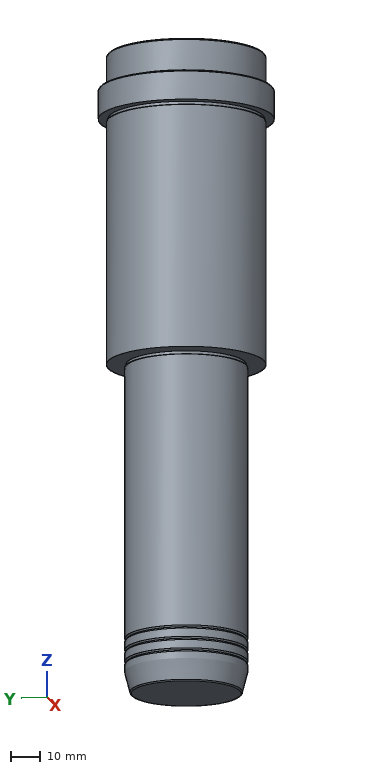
import cadquery as cq

height = 223.0
collar_radius = 60.0 / 2
body_radius = 54.5 / 2
shaft_radius = 42.0 / 2
tip_radius = 38.4 / 2

body_bottom = 115.0
collar_bottom = 201.0
collar_top = 211.2
taper_top = 7.4

collar_chamfer = 0.5
tip_chamfer = 0.5
top_chamfer = 0.55
relief_width = 1.1
upper_relief_width = 0.7
relief_depth = 0.5

groove_count = 3
groove_pitch = 4.0
groove_width = 1.1
groove_depth = 0.5
lowest_groove_height = 10.5


def cylinder(radius, bottom, top):
    return cq.Workplane("XY").workplane(offset=bottom).circle(radius).extrude(top - bottom)


def cut_groove(solid, radius, bottom, width, depth):
    """Cut a square groove around a section of the given radius."""
    outer = cylinder(radius, bottom, bottom + width)
    core = cylinder(radius - depth, bottom, bottom + width)
    return solid.cut(outer.cut(core))


def cut_vee_groove(solid, radius, center_height, width, depth):
    """Cut a V-shaped groove around a section of the given radius."""
    cutter = (
        cq.Workplane("XZ")
        .moveTo(radius, center_height - width / 2)
        .lineTo(radius - depth, center_height)
        .lineTo(radius, center_height + width / 2)
        .close()
        .revolve(360, (0, 0, 0), (0, 1, 0))
    )
    return solid.cut(cutter)


shaft = (
    cq.Workplane("XZ")
    .moveTo(0, 0)
    .lineTo(tip_radius - tip_chamfer, 0)
    .lineTo(tip_radius, tip_chamfer)
    .lineTo(shaft_radius, taper_top)
    .lineTo(shaft_radius, body_bottom)
    .lineTo(0, body_bottom)
    .close()
    .revolve(360, (0, 0, 0), (0, 1, 0))
)
for index in range(groove_count):
    groove_height = lowest_groove_height + index * groove_pitch
    shaft = cut_vee_groove(shaft, shaft_radius, groove_height, groove_width, groove_depth)
shaft = cut_groove(shaft, shaft_radius, body_bottom - relief_width, relief_width, relief_depth)

body = cylinder(body_radius, body_bottom, height).faces(">Z").chamfer(top_chamfer)
body = cut_groove(body, body_radius, collar_bottom - relief_width, relief_width, relief_depth)

collar = cylinder(collar_radius, collar_bottom, collar_top).faces(">Z").chamfer(collar_chamfer)
body = cut_groove(body, body_radius, collar_top, upper_relief_width, relief_depth)

result = shaft.union(body).union(collar)